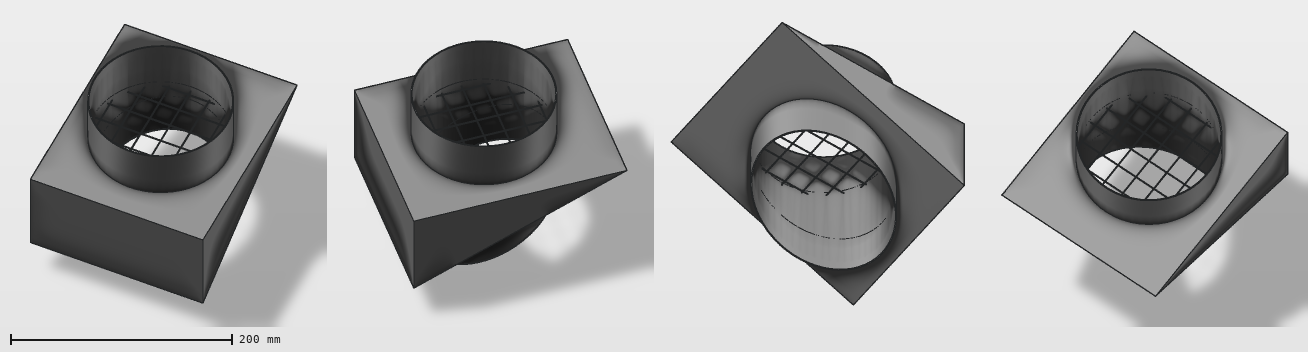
import cadquery as cq
import math

body_width = 172.0
body_front_y = -95.0
body_length = 203.0
body_height = 88.0
slope = body_height / body_length

duct_outer_radius = 66.0
duct_wall = 1.0
duct_inner_radius = duct_outer_radius - duct_wall
duct_top_z = 50.0
duct_bottom_z = -120.0

wire_pitch = 20.0
wire_size = 0.6
mesh_z = -5.0
wire_end_radius = duct_inner_radius + duct_wall / 2


def side_prism(points, width):
    """Extrude a (Y, Z) outline symmetrically along X."""
    return cq.Workplane("YZ").polyline(points).close().extrude(width / 2, both=True)


def make_wedge():
    return side_prism(
        [
            (body_front_y, 0),
            (body_front_y + body_length, 0),
            (body_front_y, -body_height),
        ],
        body_width,
    )


def make_duct_cylinder(radius):
    """Round column with a level top and a bottom cut parallel to the wedge underside."""
    low_z = duct_bottom_z + slope * (duct_outer_radius - radius)
    high_z = low_z + slope * 2 * radius
    column = cq.Workplane("XY").workplane(offset=low_z).circle(radius).extrude(duct_top_z - low_z)
    below_slope = side_prism([(-radius, low_z), (radius, high_z), (radius, low_z)], 2 * radius)
    return column.cut(below_slope)


def make_wire(offset):
    """Wire along X at the given Y offset, its ends embedded in the duct wall."""
    half_length = math.sqrt(wire_end_radius**2 - offset**2)
    return cq.Workplane("XY").box(2 * half_length, wire_size, wire_size).translate((0, offset, mesh_z))


def add_mesh(part):
    """Join a centred square grid of wires to the part."""
    wires_each_side = int(duct_inner_radius // wire_pitch)
    for index in range(-wires_each_side, wires_each_side + 1):
        wire = make_wire(index * wire_pitch)
        part = part.union(wire)
        part = part.union(wire.rotate((0, 0, 0), (0, 0, 1), 90))
    return part


housing = make_wedge().union(make_duct_cylinder(duct_outer_radius))
housing = housing.cut(make_duct_cylinder(duct_inner_radius))
result = add_mesh(housing)